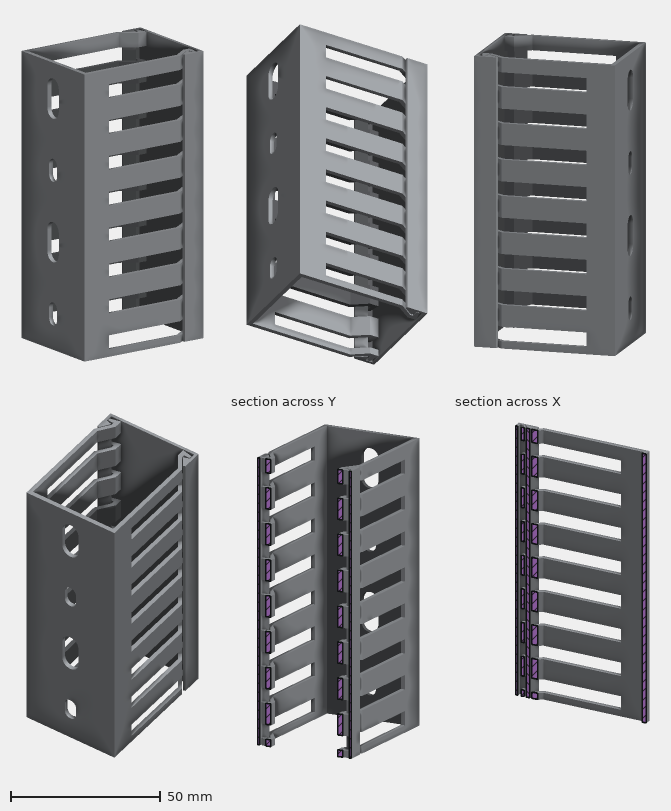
import cadquery as cq

length = 100.0
width = 36.0
height = 49.2
half_width = width / 2

base_thickness = 1.6
wall_top_thickness = 1.5
wall_base_thickness = 1.6

neck_outer_depth = 9.6
neck_inner_depth = 10.0
neck_top_depth = 4.6

head_inner_inset = 5.3
head_outer_inset = 3.6
head_inner_top_depth = 1.4
head_outer_top_depth = 2.3
barb_shoulder_inset = 1.4
barb_tip_inset = 1.1
barb_tip_depth = 2.7
barb_underside_depth = 3.4

slot_width = 5.0
slot_pitch = 12.5
slot_count = 8
first_slot_drop = 5.0
slot_floor = 10.0

hole_pitch = 25.0
first_hole_drop = 12.5
large_hole_length = 14.0
large_hole_width = 6.5
small_hole_length = 8.0
small_hole_width = 4.5
hole_pairs = 2

cover_thickness = 1.1
cover_side_thickness = 1.0
cover_outer_edge_depth = 7.7
cover_inner_edge_depth = 8.0
lip_inset = 0.8
hook_top_depth = 3.7
hook_tip_inset = 3.3
hook_tip_depth = 4.3


def symmetric_extrusion(half_profile):
    """Mirror a left half profile of (inset, depth) points about the YZ plane and extrude it along Z.

    The first and last points lie on the symmetry plane.
    """
    left = [(inset - half_width, height - depth) for inset, depth in half_profile]
    right = [(-x, y) for x, y in reversed(left[1:-1])]
    return cq.Workplane("XY").polyline(left + right).close().extrude(length)


def duct_shell():
    base_inner_depth = height - base_thickness
    return symmetric_extrusion([
        (half_width, height),
        (0, height),
        (0, neck_outer_depth),
        (head_outer_inset, neck_top_depth),
        (head_outer_inset, barb_underside_depth),
        (barb_shoulder_inset, barb_underside_depth),
        (barb_tip_inset, barb_tip_depth),
        (barb_shoulder_inset, head_outer_top_depth),
        (head_inner_inset, head_inner_top_depth),
        (head_inner_inset, neck_top_depth),
        (wall_top_thickness, neck_inner_depth),
        (wall_base_thickness, base_inner_depth),
        (half_width, base_inner_depth),
    ])


def wiring_slots():
    slots = cq.Workplane("XY")
    for index in range(slot_count):
        slot_top = length - first_slot_drop - index * slot_pitch
        slot = cq.Workplane("XY").box(
            width, height - slot_floor, slot_width, centered=(True, False, False)
        )
        slots = slots.add(slot.translate((0, slot_floor, slot_top - slot_width)))
    return slots.combine()


def mounting_hole(hole_length, hole_width, drop):
    return (
        cq.Workplane("XZ", origin=(0, base_thickness, length - drop))
        .slot2D(hole_length, hole_width, 90)
        .extrude(base_thickness)
    )


def make_duct():
    duct = duct_shell().cut(wiring_slots())
    for pair in range(hole_pairs):
        large_drop = first_hole_drop + 2 * pair * hole_pitch
        small_drop = large_drop + hole_pitch
        duct = duct.cut(mounting_hole(large_hole_length, large_hole_width, large_drop))
        duct = duct.cut(mounting_hole(small_hole_length, small_hole_width, small_drop))
    return duct


def make_cover():
    return symmetric_extrusion([
        (half_width, 0),
        (0, 0),
        (0, cover_outer_edge_depth),
        (lip_inset, cover_inner_edge_depth),
        (hook_tip_inset, hook_tip_depth),
        (cover_side_thickness, hook_top_depth),
        (cover_side_thickness, cover_thickness),
        (half_width, cover_thickness),
    ])


duct = make_duct().solids()
cover = make_cover()

result = cq.Compound.makeCompound([duct.val(), cover.val()])